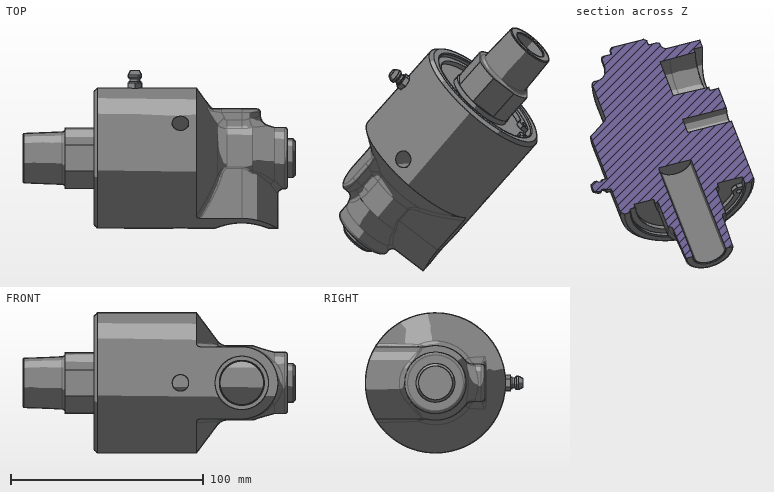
import cadquery as cq
import math


pipe_tip_radius = 12.9
pipe_root_radius = 13.7
pipe_tip_chamfer = 0.5
shoulder_x = 21.9
shoulder_blend_radius = 1.5
collar_radius = 34.8 / 2
flats_round_radius = 17.2
flats_width = 31.6
flats_end_x = 38.7
pipe_bore_radius = 17.5 / 2
pipe_bore_mouth_radius = 9.2
pipe_bore_mouth_depth = 0.5
pipe_bore_depth = 60.0

overlap = 1.0

tolerance = 1e-3

body_face_x = 36.9
body_end_x = 90.2
body_radius = 73.0 / 2
body_chamfer = 1.8
cone_drop_per_length = 1.34
neck_radius = 19.4
neck_blend_radius = 6.0
neck_end_x = 119.4
end_flange_x = 130.8
end_flange_radius = 16.0
end_face_x = 137.6
end_flange_rounding = 1.5
stub_radius = 10.1
stub_chamfer = 1.3
total_length = 141.72

recess_radius = 62.05 / 2
recess_mouth_radius = 31.6
recess_mouth_depth = 0.6
recess_depth = 4.5
ring_inner_radius = 27.9
ring_front_depth = 2.2
ring_seat_depth = 0.2
lug_radius = 3.4
lug_hole_radius = 2.79 / 2
lug_y = -28.4
lug_z = 8.5
lug_gap_half_width = 5.0

arm_center_x = 113.8
arm_radius = 18.75
arm_blend_radius = 2.8
port_face_radius = 27.8 / 2
port_face_y = -31.8
port_mouth_radius = 23.5 / 2
port_radius = 22.63 / 2
port_taper_per_length = 1 / 16
core_radius = 12.6
boss_radius = 9.7
boss_end_y = 25.7
boss_root_offset = 2.0
boss_rounding = 2.0
boss_side_limit_y = boss_end_y - boss_rounding / 2
boss_blend_radius = 5.5

drain_radius = 8.6 / 2
drain_x = 81.9
drain_angles = (0, 120, 240)

nipple_x = 58.2
nipple_hex_width = 7.2
nipple_hex_end_y = 39.1
nipple_collar_radius = 3.1
nipple_collar_end_y = 39.8
nipple_neck_radius = 2.6
nipple_neck_end_y = 41.2
nipple_head_radius = 3.55
nipple_head_start_y = 42.1
nipple_head_end_y = 43.3
nipple_tip_radius = 2.3
nipple_tip_y = 45.63


def x_cylinder(radius, start_x, end_x):
    """Cylinder about the X axis between two X positions."""
    return cq.Workplane("YZ", origin=(start_x, 0, 0)).circle(radius).extrude(end_x - start_x)


def turned(points):
    """Solid turned about the X axis from (x, radius) points, closed along the axis."""
    closed = [(points[0][0], 0)] + points + [(points[-1][0], 0)]
    return cq.Workplane("XY").polyline(closed).close().revolve(360, (0, 0, 0), (1, 0, 0))


def make_housing():
    """Turned body, cone, neck and end flange, with a round blend between cone and neck."""
    cone_angle = math.atan(cone_drop_per_length)
    cone_foot_x = body_end_x + (body_radius - neck_radius) / cone_drop_per_length
    blend_length = neck_blend_radius * math.tan(cone_angle / 2)
    blend_start = (
        cone_foot_x - blend_length * math.cos(cone_angle),
        neck_radius + blend_length * math.sin(cone_angle),
    )
    blend_center = (cone_foot_x + blend_length, neck_radius + neck_blend_radius)
    blend_middle = (
        blend_center[0] - neck_blend_radius * math.sin(cone_angle / 2),
        blend_center[1] - neck_blend_radius * math.cos(cone_angle / 2),
    )
    profile = (
        cq.Workplane("XY")
        .moveTo(body_face_x, 0)
        .lineTo(body_face_x, body_radius - body_chamfer)
        .lineTo(body_face_x + body_chamfer, body_radius)
        .lineTo(body_end_x, body_radius)
        .lineTo(*blend_start)
        .threePointArc(blend_middle, (blend_center[0], neck_radius))
        .lineTo(neck_end_x, neck_radius)
        .lineTo(end_flange_x, end_flange_radius)
        .lineTo(end_face_x, end_flange_radius)
        .lineTo(end_face_x, 0)
        .close()
    )
    return profile.revolve(360, (0, 0, 0), (1, 0, 0))


def make_arm():
    """Round-ended arm from the axis towards -Y, its outer face following the body cylinder."""
    root_x = body_end_x - overlap
    arm = (
        cq.Workplane("XZ")
        .moveTo(root_x, arm_radius)
        .lineTo(arm_center_x, arm_radius)
        .threePointArc((arm_center_x + arm_radius, 0), (arm_center_x, -arm_radius))
        .lineTo(root_x, -arm_radius)
        .close()
        .extrude(body_radius + overlap)
    )
    return arm.intersect(x_cylinder(body_radius, 0, total_length))


def make_boss():
    """Round-ended boss from the axis towards +Y."""
    root_x = body_end_x + boss_root_offset
    boss = (
        cq.Workplane("XZ")
        .moveTo(root_x, boss_radius)
        .lineTo(arm_center_x, boss_radius)
        .threePointArc((arm_center_x + boss_radius, 0), (arm_center_x, -boss_radius))
        .lineTo(root_x, -boss_radius)
        .close()
        .extrude(-boss_end_y)
    )
    return boss


def blend_on(base, attachment, radius, y_limit):
    """Join an attachment to the base and fillet the part of their seam inside |y| < y_limit."""
    base_skin = base.val().Shells()[0]
    attachment_skin = attachment.val().Shells()[0]
    joined = base.union(attachment)
    seam = []
    for edge in joined.edges().vals():
        middle = cq.Vertex.makeVertex(*edge.positionAt(0.5).toTuple())
        gap = max(base_skin.distance(middle), attachment_skin.distance(middle))
        if gap < tolerance and abs(edge.Center().y) < y_limit:
            seam.append(edge)
    return joined.newObject(seam).fillet(radius)


def round_boss_rim(body):
    """Round the outer rim of the boss, leaving its edge on the cone sharp."""
    slab = cq.selectors.BoxSelector(
        (body_end_x, boss_end_y - tolerance, -body_radius),
        (end_face_x, boss_end_y + tolerance, body_radius),
    )
    return body.faces(slab).edges(">X or >Z or <Z").fillet(boss_rounding)


def make_stub():
    return x_cylinder(stub_radius, end_face_x - overlap, total_length).faces(">X").chamfer(stub_chamfer)


def make_recess():
    floor_x = body_face_x + recess_depth
    return turned([
        (body_face_x, recess_mouth_radius),
        (body_face_x + recess_mouth_depth, recess_radius),
        (floor_x, recess_radius),
    ])


def make_ring():
    """Retaining ring seated in the recess, open towards -Y between its two lugs."""
    front_x = body_face_x + ring_front_depth
    floor_x = body_face_x + recess_depth + overlap
    thickness = floor_x - front_x
    ring = x_cylinder(recess_radius + overlap, front_x, floor_x)
    ring = ring.cut(x_cylinder(ring_inner_radius, front_x, floor_x))
    lug_plane = cq.Workplane("YZ", origin=(front_x, 0, 0))
    lug_places = [(lug_y, lug_z), (lug_y, -lug_z)]
    lugs = lug_plane.pushPoints(lug_places).circle(lug_radius).extrude(thickness)
    within_recess = x_cylinder(recess_radius + ring_seat_depth, front_x, floor_x)
    ring = ring.union(lugs).intersect(within_recess)
    gap = lug_plane.center(-recess_radius, 0).rect(recess_radius, 2 * lug_gap_half_width).extrude(thickness)
    holes = lug_plane.pushPoints(lug_places).circle(lug_hole_radius).extrude(thickness)
    return ring.cut(gap).cut(holes)


def make_rotor():
    """Taper pipe, shoulder with four wrench flats, and the collar behind it."""
    pipe_end_x = shoulder_x - shoulder_blend_radius
    shoulder_radius = pipe_root_radius + shoulder_blend_radius
    blend_middle = (
        pipe_end_x + shoulder_blend_radius * math.sin(math.pi / 4),
        shoulder_radius - shoulder_blend_radius * math.cos(math.pi / 4),
    )
    pipe = (
        cq.Workplane("XY")
        .lineTo(0, pipe_tip_radius - pipe_tip_chamfer)
        .lineTo(pipe_tip_chamfer, pipe_tip_radius)
        .lineTo(pipe_end_x, pipe_root_radius)
        .threePointArc(blend_middle, (shoulder_x, shoulder_radius))
        .lineTo(shoulder_x, 0)
        .close()
        .revolve(360, (0, 0, 0), (1, 0, 0))
    )
    square = (
        cq.Workplane("YZ", origin=(shoulder_x, 0, 0))
        .rect(flats_width, flats_width)
        .extrude(flats_end_x - shoulder_x)
    )
    shoulder = x_cylinder(flats_round_radius, shoulder_x, flats_end_x).intersect(square)
    collar = x_cylinder(collar_radius, flats_end_x, body_face_x + recess_depth + overlap)
    return pipe.union(shoulder).union(collar)


def make_pipe_bore():
    return turned([
        (0, pipe_bore_mouth_radius),
        (pipe_bore_mouth_depth, pipe_bore_radius),
        (pipe_bore_depth, pipe_bore_radius),
    ])


def make_port():
    """Counterbored taper-thread port, from -Y down to the round core along the X axis."""
    taper_depth = 2 * (port_mouth_radius - port_radius) / port_taper_per_length
    taper_end_y = port_face_y + taper_depth
    profile = (
        cq.Workplane("XY")
        .moveTo(arm_center_x, -body_radius - overlap)
        .lineTo(arm_center_x + port_face_radius, -body_radius - overlap)
        .lineTo(arm_center_x + port_face_radius, port_face_y)
        .lineTo(arm_center_x + port_mouth_radius, port_face_y)
        .lineTo(arm_center_x + port_radius, taper_end_y)
        .lineTo(arm_center_x + port_radius, 0)
        .lineTo(arm_center_x, 0)
        .close()
    )
    port = profile.revolve(360, (arm_center_x, 0, 0), (arm_center_x, 1, 0))
    return port.cut(x_cylinder(core_radius, 0, total_length))


def make_drain(angle):
    """Drain hole from outside down to the core; angle 0 points to -Y, turning about X."""
    drain = cq.Workplane("XZ").center(drain_x, 0).circle(drain_radius).extrude(body_radius + overlap)
    drain = drain.cut(x_cylinder(core_radius, 0, total_length))
    return drain.rotate((0, 0, 0), (1, 0, 0), angle)


def make_nipple():
    root_y = body_radius - overlap
    hexagon = (
        cq.Workplane("XZ", origin=(nipple_x, root_y, 0))
        .polygon(6, nipple_hex_width, circumscribed=True)
        .extrude(root_y - nipple_hex_end_y)
    )
    head_profile = [
        (0, root_y),
        (nipple_collar_radius, root_y),
        (nipple_collar_radius, nipple_collar_end_y),
        (nipple_neck_radius, nipple_collar_end_y),
        (nipple_neck_radius, nipple_neck_end_y),
        (nipple_head_radius, nipple_head_start_y),
        (nipple_head_radius, nipple_head_end_y),
        (nipple_tip_radius, nipple_tip_y),
        (0, nipple_tip_y),
    ]
    head = cq.Workplane("XY").polyline(head_profile).close().revolve(360, (0, 0, 0), (0, 1, 0))
    return hexagon.union(head.translate((nipple_x, 0, 0)))


housing = blend_on(make_housing(), make_arm(), arm_blend_radius, body_radius)
housing = blend_on(housing, make_boss(), boss_blend_radius, boss_side_limit_y)
housing = round_boss_rim(housing)
housing = housing.faces(">X").edges().fillet(end_flange_rounding)
housing = housing.union(make_stub())
housing = housing.cut(make_recess()).union(make_ring())
housing = housing.cut(make_port())
for drain_angle in drain_angles:
    housing = housing.cut(make_drain(drain_angle))
result = housing.union(make_rotor()).cut(make_pipe_bore()).union(make_nipple())